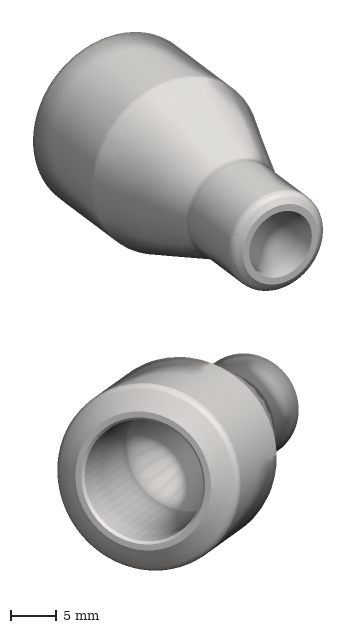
import cadquery as cq
import math

length = 38.0
body_diameter = 21.3
neck_diameter = 12.0
body_bore_diameter = 13.85
neck_bore_diameter = 8.0
mouth_face_diameter = 15.8
neck_face_diameter = 9.65
mouth_chamfer = 0.3
taper_start = 14.97
taper_end = 28.0
edge_radius = 1.0
bevel_angle = 60.0

body_radius = body_diameter / 2
neck_radius = neck_diameter / 2
body_bore_radius = body_bore_diameter / 2
neck_bore_radius = neck_bore_diameter / 2
mouth_face_radius = mouth_face_diameter / 2
neck_face_radius = neck_face_diameter / 2


def bevel_length(outer_radius, face_radius):
    """Axial length of an end bevel."""
    return (outer_radius - face_radius) / math.tan(math.radians(bevel_angle))


def revolve_profile(points):
    """Solid of revolution about X from (axial, radial) points."""
    return cq.Workplane("XY").polyline(points).close().revolve(360, (0, 0, 0), (1, 0, 0))


def round_edge_at(solid, axial, radius):
    """Round the circular outer edge at the given axial position and radius."""
    margin = 0.05
    reach = radius + margin
    box = cq.selectors.BoxSelector(
        (axial - margin, -reach, -reach), (axial + margin, reach, reach), boundingbox=True
    )
    return solid.edges(box).edges("%CIRCLE").fillet(edge_radius)


body_bevel_end = bevel_length(body_radius, mouth_face_radius)
neck_bevel_start = length - bevel_length(neck_radius, neck_face_radius)
outer = revolve_profile([
    (0, 0),
    (0, mouth_face_radius),
    (body_bevel_end, body_radius),
    (taper_start, body_radius),
    (taper_end, neck_radius),
    (neck_bevel_start, neck_radius),
    (length, neck_face_radius),
    (length, 0),
])
for axial, radius in (
    (body_bevel_end, body_radius),
    (taper_start, body_radius),
    (taper_end, neck_radius),
    (neck_bevel_start, neck_radius),
):
    outer = round_edge_at(outer, axial, radius)

bore = revolve_profile([
    (0, 0),
    (0, body_bore_radius + mouth_chamfer),
    (mouth_chamfer, body_bore_radius),
    (taper_start, body_bore_radius),
    (taper_end, neck_bore_radius),
    (length, neck_bore_radius),
    (length, 0),
])

result = outer.cut(bore)